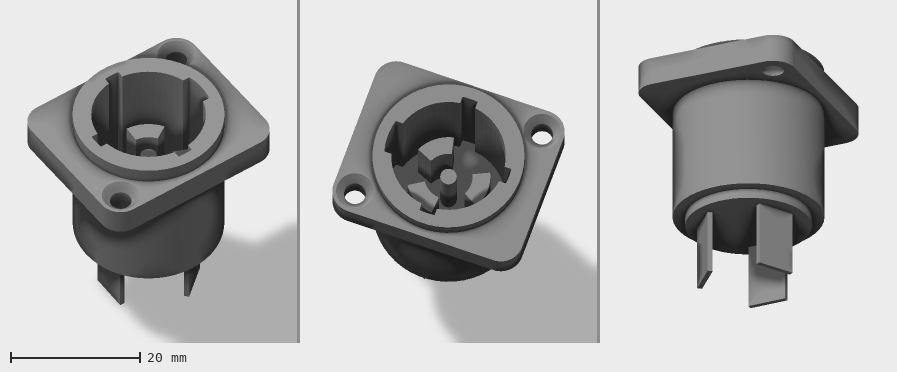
import cadquery as cq
import math

TOTAL_HEIGHT = 36.7
RIM_HEIGHT = 2.5
FLANGE_THICKNESS = 4.5
BARREL_LENGTH = 24.95
BASE_THICKNESS = 1.55
CAVITY_DEPTH = 20.0
CONTACT_TOP_DEPTH = 9.47

FLANGE_TOP = TOTAL_HEIGHT - RIM_HEIGHT
FLANGE_BOTTOM = FLANGE_TOP - FLANGE_THICKNESS
BARREL_BOTTOM = TOTAL_HEIGHT - BARREL_LENGTH
BASE_BOTTOM = BARREL_BOTTOM - BASE_THICKNESS
CAVITY_FLOOR = TOTAL_HEIGHT - CAVITY_DEPTH
CONTACT_HEIGHT = CAVITY_DEPTH - CONTACT_TOP_DEPTH

FLANGE_WIDTH = 26.0
FLANGE_LENGTH = 31.0
FLANGE_CORNER_RADIUS = 3.5
BARREL_RADIUS = 11.78
BASE_RADIUS = 9.85

HOLE_SPACING_X = 19.0
HOLE_SPACING_Y = 24.0
HOLE_DIAMETER = 3.38
COUNTERSINK_DIAMETER = 5.85
COUNTERSINK_ANGLE = 90.0

CAVITY_RADIUS = 8.88
KEYWAY_RADIUS = 10.0
WIDE_KEYWAY = 5.32
NARROW_KEYWAY = 2.5

CONTACT_ANGLES = (39.2, 149.2, 268.6)
CONTACT_INNER_RADIUS = 3.75
CONTACT_OUTER_RADIUS = 6.5
CONTACT_SPAN = 54.0
CENTRE_PIN_RADIUS = 1.3
TERMINAL_RADIUS = 7.0
TERMINAL_WIDTH = 6.3
TERMINAL_THICKNESS = 0.8


def cylinder(radius, bottom, top):
    return cq.Workplane("XY").workplane(offset=bottom).circle(radius).extrude(top - bottom)


def polar(radius, degrees):
    angle = math.radians(degrees)
    return radius * math.cos(angle), radius * math.sin(angle)


def make_housing():
    flange = (
        cq.Workplane("XY")
        .workplane(offset=FLANGE_BOTTOM)
        .rect(FLANGE_WIDTH, FLANGE_LENGTH)
        .extrude(FLANGE_THICKNESS)
        .edges("|Z")
        .fillet(FLANGE_CORNER_RADIUS)
    )
    hole_x = HOLE_SPACING_X / 2
    hole_y = HOLE_SPACING_Y / 2
    flange = (
        flange.faces(">Z")
        .workplane(origin=(0, 0, FLANGE_TOP))
        .pushPoints([(-hole_x, hole_y), (hole_x, -hole_y)])
        .cskHole(HOLE_DIAMETER, COUNTERSINK_DIAMETER, COUNTERSINK_ANGLE)
    )
    barrel = cylinder(BARREL_RADIUS, BARREL_BOTTOM, TOTAL_HEIGHT)
    base = cylinder(BASE_RADIUS, BASE_BOTTOM, BARREL_BOTTOM)
    return flange.union(barrel).union(base)


def make_cavity():
    bore = cylinder(CAVITY_RADIUS, CAVITY_FLOOR, TOTAL_HEIGHT)
    keyway_limit = cylinder(KEYWAY_RADIUS, CAVITY_FLOOR, TOTAL_HEIGHT)
    for angle, width in ((90, WIDE_KEYWAY), (180, NARROW_KEYWAY), (270, NARROW_KEYWAY), (0, NARROW_KEYWAY)):
        slot = (
            cq.Workplane("XY")
            .workplane(offset=CAVITY_FLOOR)
            .center(BARREL_RADIUS / 2, 0)
            .rect(BARREL_RADIUS, width)
            .extrude(CAVITY_DEPTH)
            .rotate((0, 0, 0), (0, 0, 1), angle)
        )
        bore = bore.union(slot.intersect(keyway_limit))
    return bore


def make_contact(angle):
    start = angle - CONTACT_SPAN / 2
    end = angle + CONTACT_SPAN / 2
    return (
        cq.Workplane("XY")
        .workplane(offset=CAVITY_FLOOR)
        .moveTo(*polar(CONTACT_INNER_RADIUS, start))
        .lineTo(*polar(CONTACT_OUTER_RADIUS, start))
        .threePointArc(polar(CONTACT_OUTER_RADIUS, angle), polar(CONTACT_OUTER_RADIUS, end))
        .lineTo(*polar(CONTACT_INNER_RADIUS, end))
        .threePointArc(polar(CONTACT_INNER_RADIUS, angle), polar(CONTACT_INNER_RADIUS, start))
        .close()
        .extrude(CONTACT_HEIGHT)
    )


def make_terminal(angle):
    return (
        cq.Workplane("XY")
        .center(TERMINAL_RADIUS, 0)
        .rect(TERMINAL_THICKNESS, TERMINAL_WIDTH)
        .extrude(BASE_BOTTOM)
        .rotate((0, 0, 0), (0, 0, 1), angle)
    )


result = make_housing().cut(make_cavity())
result = result.union(cylinder(CENTRE_PIN_RADIUS, CAVITY_FLOOR, CAVITY_FLOOR + CONTACT_HEIGHT))
for contact_angle in CONTACT_ANGLES:
    result = result.union(make_contact(contact_angle))
    result = result.union(make_terminal(contact_angle))